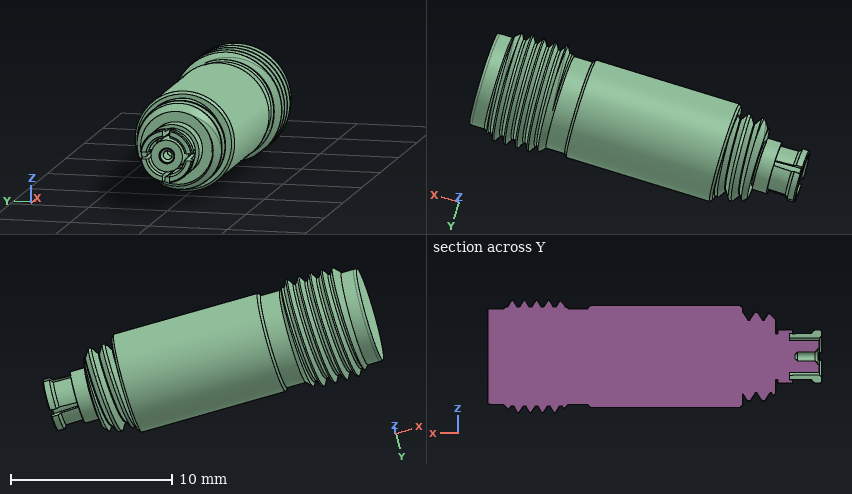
import cadquery as cq
total_length = 20.7
collar_start = 1.81
collar_end = 2.73
front_thread_start = 2.85
body_start = 4.89
body_end = 14.5
rear_thread_start = 15.72
rear_thread_end = 19.72

lip_radius = 1.67
finger_tip_radius = 1.46
finger_radius = 1.43
neck_radius = 1.43
body_radius = 3.17
rear_barrel_radius = 2.98
body_chamfer = 0.16
rear_taper_length = 0.18
rear_taper_depth = 0.03

lip_edge_chamfer = 0.07
lip_flat_end = 0.46
lip_taper_end = 0.65
finger_root = 2.0
finger_bore_radius = 1.17
bore_chamfer = 0.13
slot_front_width = 0.45
slot_root_width = 0.31
slot_count = 4

insulator_radius = 1.0
insulator_face = 0.15
contact_clearance_radius = 0.49
contact_radius = 0.43
contact_hole_radius = 0.27
contact_tip_radius = 0.12
contact_recess = 0.1
contact_hole_end = 1.5

front_crest_radius = 2.75
front_root_radius = 2.25
front_pitch = 0.9
front_crest_flat = 0.2
front_root_flat = 0.06
front_chamfer_radius = 2.3
front_groove_x_at_top = 3.62
rear_crest_radius = 3.5
rear_root_radius = 3.09
rear_pitch = 0.75
rear_crest_flat = 0.1
rear_root_flat = 0.16
rear_groove_x_at_top = 16.55

lead_in_turns = 1.5
groove_overshoot = 0.03
chamfer_margin = 0.05


def revolve(profile):
    """Turn a list of (x, radius) points about the X axis."""
    return cq.Workplane("XY").polyline(profile).close().revolve(360, (0, 0, 0), (1, 0, 0))


def cylinder(start, end, radius):
    return cq.Workplane("YZ", origin=(start, 0, 0)).circle(radius).extrude(end - start)


def helical_groove(start, end, pitch, crest_radius, root_radius, crest_flat, root_flat):
    """Right-hand V groove about X; it begins on the +Z side, lead_in_turns before the start."""
    first_x = start - lead_in_turns * pitch
    length = end + pitch - first_x
    mouth_radius = crest_radius + groove_overshoot
    flank_slope = (pitch - crest_flat - root_flat) / 2 / (crest_radius - root_radius)
    half_root = root_flat / 2
    half_mouth = half_root + flank_slope * (mouth_radius - root_radius)
    corners = [
        (root_radius, -half_root),
        (mouth_radius, -half_mouth),
        (mouth_radius, half_mouth),
        (root_radius, half_root),
    ]
    helices = [
        cq.Wire.makeHelix(pitch, length, radius, center=cq.Vector(0, 0, offset))
        for radius, offset in corners
    ]
    sides = [
        cq.Face.makeRuledSurface(helices[index - 1], helices[index])
        for index in range(len(corners))
    ]
    ends = []
    for place in (0, 1):
        section = [helix.positionAt(place) for helix in helices]
        ends.append(cq.Face.makeFromWires(cq.Wire.makePolygon(section, close=True)))
    faces = [face for side in sides for face in side.Faces()] + ends
    groove = cq.Workplane(cq.Solid.makeSolid(cq.Shell.makeShell(faces)))
    groove = groove.rotate((0, 0, 0), (0, 1, 0), 90).rotate((0, 0, 0), (1, 0, 0), 180)
    return groove.translate((first_x, 0, 0))


def end_chamfer(end_x, inward, crest_radius, end_radius):
    """Ring that bevels a thread end at 45 degrees; inward is +1 or -1 along X."""
    outside_x = end_x - inward * chamfer_margin
    depth = crest_radius - end_radius + chamfer_margin
    return revolve([
        (outside_x, end_radius - chamfer_margin),
        (end_x + inward * depth, crest_radius + chamfer_margin),
        (outside_x, crest_radius + chamfer_margin),
    ])


def thread(start, end, pitch, crest_radius, root_radius, crest_flat, root_flat, groove_x_at_top):
    """Threaded cylinder, turned about X so that its groove passes +Z at groove_x_at_top."""
    groove = helical_groove(start, end, pitch, crest_radius, root_radius, crest_flat, root_flat)
    turns = (groove_x_at_top - start) / pitch + lead_in_turns
    return cylinder(start, end, crest_radius).cut(groove).rotate((0, 0, 0), (1, 0, 0), -360 * turns)


def front_thread():
    threaded = thread(
        front_thread_start, body_start, front_pitch, front_crest_radius, front_root_radius,
        front_crest_flat, front_root_flat, front_groove_x_at_top,
    )
    return threaded.cut(end_chamfer(front_thread_start, 1, front_crest_radius, front_chamfer_radius))


def rear_thread():
    threaded = thread(
        rear_thread_start, rear_thread_end, rear_pitch, rear_crest_radius, rear_root_radius,
        rear_crest_flat, rear_root_flat, rear_groove_x_at_top,
    )
    for end_x, inward in ((rear_thread_start, 1), (rear_thread_end, -1)):
        threaded = threaded.cut(end_chamfer(end_x, inward, rear_crest_radius, rear_barrel_radius))
    return threaded


def slot_cutter():
    """Tapered slot through one wall of the collet, on the +Y side."""
    return (
        cq.Workplane("XZ")
        .polyline([
            (0, -slot_front_width / 2),
            (finger_root, -slot_root_width / 2),
            (finger_root, slot_root_width / 2),
            (0, slot_front_width / 2),
        ])
        .close()
        .extrude(-2 * lip_radius)
    )


def collet():
    """Slotted spring fingers with a raised lip, seated in the collar."""
    fingers = revolve([
        (0, finger_bore_radius + bore_chamfer),
        (0, lip_radius - lip_edge_chamfer),
        (lip_edge_chamfer, lip_radius),
        (lip_flat_end, lip_radius),
        (lip_taper_end, finger_tip_radius),
        (finger_root, finger_radius),
        (finger_root, finger_bore_radius),
        (bore_chamfer, finger_bore_radius),
    ])
    for index in range(slot_count):
        fingers = fingers.cut(slot_cutter().rotate((0, 0, 0), (1, 0, 0), index * 360 / slot_count))
    collar = cylinder(collar_start, collar_end, lip_radius)
    seat = cylinder(collar_start, finger_root, finger_radius)
    neck = cylinder(collar_end, front_thread_start, neck_radius)
    return collar.cut(seat).union(fingers).union(neck)


def insulator():
    """Insulator plug with the recessed, countersunk socket of the centre contact."""
    plug = cylinder(insulator_face, collar_end, insulator_radius)
    contact_face = insulator_face + contact_recess
    recess = cylinder(insulator_face, contact_face, contact_clearance_radius)
    countersink_end = contact_face + contact_radius - contact_hole_radius
    tip_end = contact_hole_end + contact_hole_radius - contact_tip_radius
    contact_hole = revolve([
        (contact_face, 0),
        (contact_face, contact_radius),
        (countersink_end, contact_hole_radius),
        (contact_hole_end, contact_hole_radius),
        (tip_end, contact_tip_radius),
        (tip_end, 0),
    ])
    return plug.cut(recess).cut(contact_hole)


def body():
    return cylinder(body_start, body_end, body_radius).edges().chamfer(body_chamfer)


def rear_barrel():
    """Plain barrel whose rear end draws in slightly."""
    return revolve([
        (body_end, 0),
        (body_end, rear_barrel_radius),
        (total_length - rear_taper_length, rear_barrel_radius),
        (total_length, rear_barrel_radius - rear_taper_depth),
        (total_length, 0),
    ])


result = (
    collet()
    .union(insulator())
    .union(front_thread())
    .union(body())
    .union(rear_barrel())
    .union(rear_thread())
)